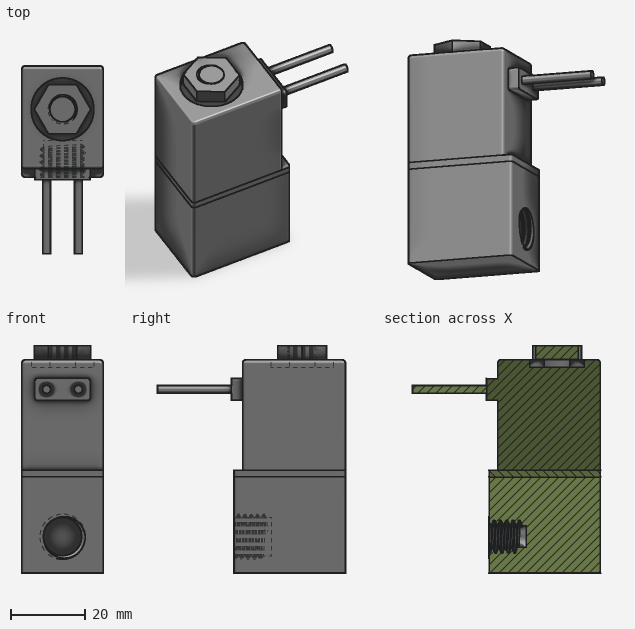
import cadquery as cq
import math

width = 21.95
edge_radius = 1.0

valve_depth = 30.0
valve_height = 25.85
plate_thickness = 1.85

housing_depth = 27.7
housing_top = 57.4

connector_width = 14.8
connector_height = 5.95
connector_reach = 3.0
connector_corner_radius = 0.6
connector_z = 49.4

wire_diameter = 2.2
wire_spacing = 8.55
overall_depth = 50.58

overall_height = 61.2
hexagon_sides = 6
nut_across_flats = 13.16
nut_axis_y = -11.7
nut_minor_diameter = 6.78
nut_major_diameter = 7.87
nut_pitch = 1.058
nut_thread_top_angle = 72.0

recess_diameter = 16.9
recess_depth = 2.0

port_z = 9.82
port_depth = 10.0
port_minor_diameter = 10.27
port_major_diameter = 12.23
port_pitch = 1.7
port_thread_start_angle = 25.0

plate_top = valve_height + plate_thickness
connector_face_y = -housing_depth - connector_reach
recess_floor = housing_top - recess_depth
nut_height = overall_height - housing_top

flank_angle = math.radians(30)
floor_share = 1 / 8
bore_overlap = 0.1


def rounded_block(depth, bottom, height):
    """Block with its back on Y = 0 and its four upright edges rounded."""
    return (
        cq.Workplane("XY", origin=(0, -depth / 2, bottom))
        .rect(width, depth)
        .extrude(height)
        .edges("|Z")
        .fillet(edge_radius)
    )


def thread_groove(minor_diameter, major_diameter, pitch, length, start_angle):
    """Helical V groove rising about Z, its middle crossing Z = 0 at the start angle (degrees)."""
    inner = minor_diameter / 2 - bore_overlap
    outer = major_diameter / 2
    floor_half = pitch * floor_share / 2
    mouth_half = floor_half + (outer - inner) * math.tan(flank_angle)
    helix = cq.Wire.makeHelix(pitch, length, minor_diameter / 2)
    return (
        cq.Workplane("XZ")
        .polyline([(inner, -mouth_half), (outer, -floor_half), (outer, floor_half), (inner, mouth_half)])
        .close()
        .sweep(cq.Workplane(helix), isFrenet=True)
        .rotate((0, 0, 0), (0, 0, 1), start_angle)
    )


port_bore = (
    cq.Workplane("XZ", origin=(0, -valve_depth, port_z))
    .circle(port_minor_diameter / 2)
    .extrude(-port_depth)
)
port_groove = (
    thread_groove(
        port_minor_diameter, port_major_diameter, port_pitch, port_depth, port_thread_start_angle
    )
    .rotate((0, 0, 0), (1, 0, 0), -90)
    .translate((0, -valve_depth - port_pitch, port_z))
)
valve_body = rounded_block(valve_depth, 0, valve_height).cut(port_bore).cut(port_groove)

plate = rounded_block(valve_depth, valve_height, plate_thickness)

connector = (
    cq.Workplane("XZ", origin=(0, -housing_depth, connector_z))
    .rect(connector_width, connector_height)
    .extrude(connector_reach)
    .edges("|Y")
    .fillet(connector_corner_radius)
)
recess = (
    cq.Workplane("XY", origin=(0, nut_axis_y, recess_floor))
    .circle(recess_diameter / 2)
    .extrude(recess_depth)
)
housing = (
    rounded_block(housing_depth, plate_top, housing_top - plate_top)
    .faces(">Z")
    .edges()
    .fillet(edge_radius)
    .union(connector)
    .cut(recess)
)

stem = (
    cq.Workplane("XY", origin=(0, nut_axis_y, recess_floor))
    .circle(nut_minor_diameter / 2)
    .extrude(overall_height - recess_floor)
)

nut_turns = nut_height / nut_pitch
nut_thread_start_angle = nut_thread_top_angle - 360 * nut_turns
nut_groove = thread_groove(
    nut_minor_diameter, nut_major_diameter, nut_pitch, nut_height + 2 * nut_pitch, nut_thread_start_angle
).translate((0, nut_axis_y, housing_top - nut_pitch))
nut_bore = (
    cq.Workplane("XY", origin=(0, nut_axis_y, housing_top))
    .circle(nut_minor_diameter / 2)
    .extrude(nut_height)
)
nut = (
    cq.Workplane("XY", origin=(0, nut_axis_y, housing_top))
    .polygon(hexagon_sides, nut_across_flats / math.cos(math.pi / hexagon_sides))
    .extrude(nut_height)
    .cut(nut_groove)
    .cut(nut_bore)
)

wire_length = overall_depth + connector_face_y
wires = [
    cq.Workplane("XZ", origin=(side * wire_spacing / 2, connector_face_y, connector_z))
    .circle(wire_diameter / 2)
    .extrude(wire_length)
    for side in (-1, 1)
]

result = cq.Compound.makeCompound(
    [
        valve_body.val(),
        plate.val(),
        housing.val(),
        stem.val(),
        nut.val(),
        *[wire.val() for wire in wires],
    ]
)